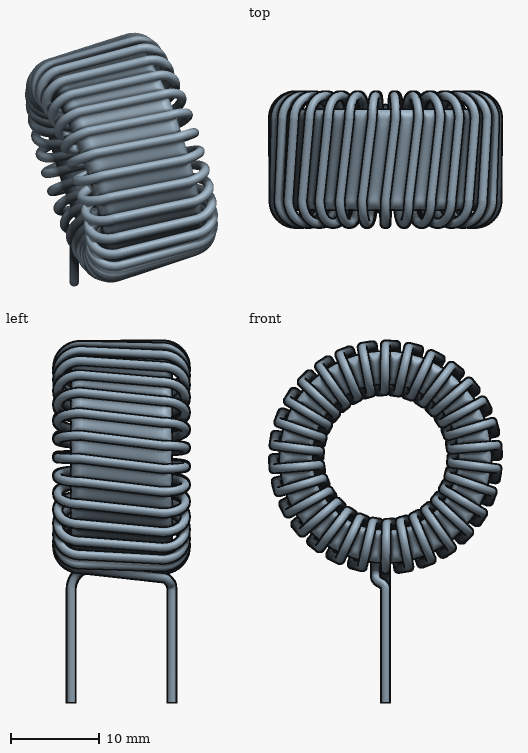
import cadquery as cq
import math


core_outer_diameter = 24.15
core_inner_diameter = 16.5
core_width = 11.5
core_edge_radius = 1.1

wire_diameter = 1.07
coil_outer_diameter = 26.53
turn_count = 30
turn_pitch = 360 / turn_count
last_turn_angle = 270
strand_half_length = 4.65
end_loop_radius = 2.6
end_loop_skew = 0.8
strand_skew = turn_pitch / 2 - end_loop_skew

rim_path_radius = (coil_outer_diameter - wire_diameter) / 2
bore_path_radius = rim_path_radius - 2 * end_loop_radius

overall_height = 41.2
lead_half_spacing = 5.73
lead_top_z = -15.15
lead_tip_z = coil_outer_diameter / 2 - overall_height
front_bend_x = -1.1
front_bend_z = -13.7
back_bend_y = 3.85

along_y = cq.Vector(0, 1, 0)
downward = cq.Vector(0, 0, -1)


def coil_point(radius, angle, y):
    turn = math.radians(angle)
    return cq.Vector(radius * math.cos(turn), y, radius * math.sin(turn))


def wire_section(center, normal):
    return cq.Wire.makeCircle(wire_diameter / 2, center, normal)


def straight_wire(start, end, section_normal):
    """Straight length of wire whose two end faces are both square to section_normal."""
    return cq.Solid.extrudeLinear(wire_section(start, section_normal), [], end - start)


def end_loop(start, end, turn_axis):
    """Half-circle of wire from start to end, swung right-handed about turn_axis."""
    center = (start + end) / 2
    return cq.Solid.revolve(wire_section(start, along_y), [], 180, center, center + turn_axis)


def lead_bend(strand_end, strand_direction, lead_top):
    """Smooth quarter-turn bend from a strand end down into the top of a lead."""
    run = along_y * (lead_top.y - strand_end.y)
    drop = lead_top - strand_end - run
    half_turn = math.radians(45)
    middle = strand_end + run * math.sin(half_turn) + drop * (1 - math.cos(half_turn))
    curve = cq.Edge.makeSpline([strand_end, middle, lead_top], tangents=[strand_direction, downward])
    return cq.Solid.sweep(wire_section(strand_end, along_y), [], cq.Wire.assembleEdges([curve]))


def make_turn(index, rim_start):
    """Rim strand, back loop, bore strand and front loop of one turn; returns pieces and end point."""
    back_rim_angle = last_turn_angle - strand_skew - index * turn_pitch
    back_bore_angle = back_rim_angle - end_loop_skew
    front_bore_angle = back_bore_angle - strand_skew
    front_rim_angle = front_bore_angle - end_loop_skew

    back_rim = coil_point(rim_path_radius, back_rim_angle, strand_half_length)
    back_bore = coil_point(bore_path_radius, back_bore_angle, strand_half_length)
    front_bore = coil_point(bore_path_radius, front_bore_angle, -strand_half_length)
    front_rim = coil_point(rim_path_radius, front_rim_angle, -strand_half_length)

    pieces = [
        straight_wire(rim_start, back_rim, along_y),
        end_loop(back_rim, back_bore, (back_rim - back_bore).cross(along_y)),
        straight_wire(back_bore, front_bore, along_y),
        end_loop(front_bore, front_rim, (front_rim - front_bore).cross(along_y)),
    ]
    return pieces, front_rim


def make_winding():
    front_bend = cq.Vector(front_bend_x, -strand_half_length, front_bend_z)
    front_lead_top = cq.Vector(0, -lead_half_spacing, lead_top_z)
    front_lead_tip = cq.Vector(0, -lead_half_spacing, lead_tip_z)
    pieces = [
        straight_wire(front_lead_tip, front_lead_top, downward),
        lead_bend(front_bend, -along_y, front_lead_top),
    ]

    wire_end = front_bend
    for index in range(turn_count):
        turn_pieces, wire_end = make_turn(index, wire_end)
        pieces += turn_pieces

    back_bend = cq.Vector(0, back_bend_y, -rim_path_radius)
    back_lead_top = cq.Vector(0, lead_half_spacing, lead_top_z)
    back_lead_tip = cq.Vector(0, lead_half_spacing, lead_tip_z)
    pieces += [
        straight_wire(wire_end, back_bend, along_y),
        lead_bend(back_bend, along_y, back_lead_top),
        straight_wire(back_lead_top, back_lead_tip, downward),
    ]
    return pieces[0].fuse(*pieces[1:], glue=True)


def make_core():
    ring = (
        cq.Workplane("XZ", origin=(0, core_width / 2, 0))
        .circle(core_outer_diameter / 2)
        .circle(core_inner_diameter / 2)
        .extrude(core_width)
    )
    return ring.faces("|Y").edges().fillet(core_edge_radius)


core = make_core()
winding = make_winding()

result = cq.Compound.makeCompound([core.val(), *winding.Solids()])